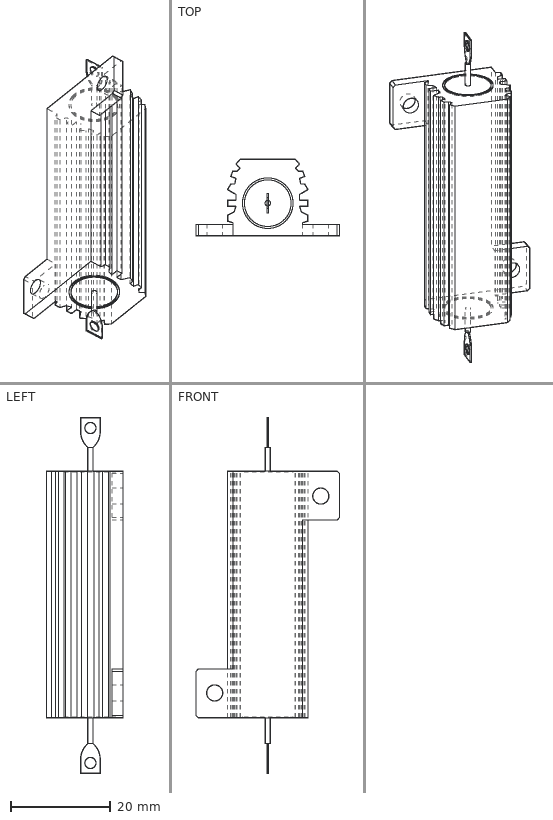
import cadquery as cq

BODY_LENGTH = 49.8
BODY_CENTRE_Z = 0.2
BODY_HEIGHT = 15.49
BASE_HALF_WIDTH = 7.05
TOP_HALF_WIDTH = 5.54

FIN_HALF_WIDTH = 8.07
POINTED_FIN_HALF_WIDTH = 8.13
ROOT_HALF_WIDTH = 6.45

LUG_REACH = 28.96 / 2
LUG_LENGTH = 9.92
LUG_THICKNESS = 2.3
LUG_CHAMFER = 0.5
HOLE_X = 10.7
HOLE_Z = 19.85
HOLE_DIAMETER = 3.2

CORE_Y = 6.6
RING_OUTER_RADIUS = 5.1
RING_INNER_RADIUS = 4.7
RING_DEPTH = 0.2

OVERALL_LENGTH = 71.75
LEAD_DIAMETER = 1.1
TAB_LENGTH = 6.0
TAB_HALF_WIDTH = 2.0
TAB_THICKNESS = 0.3
TAB_STRAIGHT = 2.9
TAB_NECK_HALF_WIDTH = LEAD_DIAMETER / 2
TAB_ARC_HALF_WIDTH = 1.45
TAB_ARC_FROM_TIP = 4.9
TAB_HOLE_DIAMETER = 2.2
TAB_HOLE_FROM_TIP = 2.1

TIP_Z = OVERALL_LENGTH / 2

FLANK = [
    (BASE_HALF_WIDTH, 0),
    (BASE_HALF_WIDTH, 2.65),
    (FIN_HALF_WIDTH, 2.95),
    (FIN_HALF_WIDTH, 4.2),
    (6.8, 4.85),
    (ROOT_HALF_WIDTH, 5.93),
    (FIN_HALF_WIDTH, 5.93),
    (FIN_HALF_WIDTH, 7.22),
    (ROOT_HALF_WIDTH, 7.22),
    (ROOT_HALF_WIDTH, 8.35),
    (POINTED_FIN_HALF_WIDTH, 9.35),
    (7.42, 10.5),
    (6.66, 10.5),
    (ROOT_HALF_WIDTH, 11.6),
    (7.48, 11.97),
    (7.07, 13.08),
    (6.19, 13.08),
    (5.63, 13.65),
    (6.42, 14.5),
    (TOP_HALF_WIDTH, BODY_HEIGHT),
]


def end_face_z(side):
    """Height of the housing's upper (+1) or lower (-1) end face."""
    return BODY_CENTRE_Z + side * BODY_LENGTH / 2


def make_housing():
    left_flank = [(-x, y) for x, y in reversed(FLANK)]
    profile = cq.Workplane("XY").polyline(FLANK + left_flank).close()
    return profile.extrude(BODY_LENGTH).translate((0, 0, end_face_z(-1)))


def make_lug(side):
    """Lug with its hole; side +1 is the +X, +Z corner, side -1 the -X, -Z corner."""
    lug_centre_z = end_face_z(side) - side * LUG_LENGTH / 2
    lug = (
        cq.Workplane("XY")
        .box(LUG_REACH, LUG_THICKNESS, LUG_LENGTH)
        .edges("|Y and >X" if side > 0 else "|Y and <X")
        .chamfer(LUG_CHAMFER)
        .translate((side * LUG_REACH / 2, LUG_THICKNESS / 2, lug_centre_z))
    )
    hole = (
        cq.Workplane("XZ")
        .center(side * HOLE_X, BODY_CENTRE_Z + side * HOLE_Z)
        .circle(HOLE_DIAMETER / 2)
        .extrude(-LUG_THICKNESS)
    )
    return lug.cut(hole)


def make_ring_groove(side):
    return (
        cq.Workplane("XY", origin=(0, CORE_Y, end_face_z(side)))
        .circle(RING_OUTER_RADIUS)
        .circle(RING_INNER_RADIUS)
        .extrude(-side * RING_DEPTH)
    )


def make_terminal(side):
    """Terminal on the upper (+1) or lower (-1) end face."""
    tip_z = side * TIP_Z
    neck_z = side * (TIP_Z - TAB_LENGTH)
    shoulder_z = side * (TIP_Z - TAB_STRAIGHT)
    arc_z = side * (TIP_Z - TAB_ARC_FROM_TIP)
    lead = (
        cq.Workplane("XY", origin=(0, CORE_Y, end_face_z(side)))
        .circle(LEAD_DIAMETER / 2)
        .extrude(neck_z - end_face_z(side))
    )
    tab = (
        cq.Workplane("YZ", origin=(0, CORE_Y, 0))
        .moveTo(-TAB_NECK_HALF_WIDTH, neck_z)
        .threePointArc((-TAB_ARC_HALF_WIDTH, arc_z), (-TAB_HALF_WIDTH, shoulder_z))
        .lineTo(-TAB_HALF_WIDTH, tip_z)
        .lineTo(TAB_HALF_WIDTH, tip_z)
        .lineTo(TAB_HALF_WIDTH, shoulder_z)
        .threePointArc((TAB_ARC_HALF_WIDTH, arc_z), (TAB_NECK_HALF_WIDTH, neck_z))
        .close()
        .extrude(TAB_THICKNESS / 2, both=True)
    )
    hole = (
        cq.Workplane("YZ", origin=(0, CORE_Y, 0))
        .center(0, side * (TIP_Z - TAB_HOLE_FROM_TIP))
        .circle(TAB_HOLE_DIAMETER / 2)
        .extrude(TAB_THICKNESS, both=True)
    )
    return lead.union(tab.cut(hole))


result = make_housing()
for end in (1, -1):
    result = result.union(make_lug(end))
for end in (1, -1):
    result = result.cut(make_ring_groove(end))
    result = result.union(make_terminal(end))